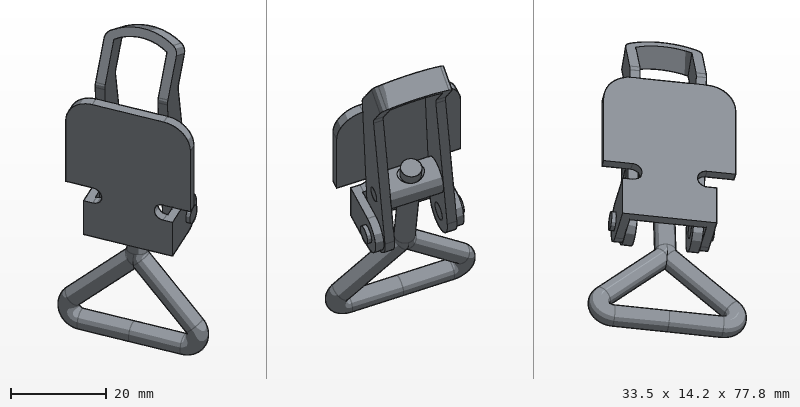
import cadquery as cq
import math


plate_width = 28.0
plate_height = 34.9
plate_thickness = 2.1
plate_corner_radius = 6.0
foot_width = 20.0
foot_height = 8.95
slot_height = 4.0
slot_tip_x = 5.9
lug_arc_y = 9.1

lever_width = 16.25
arm_thickness = 2.2
arm_inner_x = lever_width / 2 - arm_thickness
lever_end_radius = 4.75
handle_width = 5.4
handle_angle = 30.0
front_bend_y = 1.8
front_bend_z = 38.75
back_bend_y = 7.85
bend_radius = 1.95
lever_top_z = 50.95
arch_radius = 13.3
arch_thickness = 2.0
arch_corner_radius = 2.3

pivot_y = 9.5
pivot_z = foot_height / 2
pivot_diameter = 4.0
pivot_span = 21.85

barrel_y = 8.1
barrel_z = 14.85
barrel_diameter = 8.0
journal_diameter = 3.2
countersink_diameter = 5.9

wire_diameter = 4.5
ring_tilt = 8.0
ring_width = 33.5
ring_bend_radius = 2.95
stem_top_height = 5.8
bar_depth = 39.8
leg_angle = 45.0


def x_cylinder(diameter, x_start, x_end, y, z):
    """Cylinder along X between two X positions."""
    return (
        cq.Workplane("YZ", origin=(x_start, 0, 0))
        .center(y, z)
        .circle(diameter / 2)
        .extrude(x_end - x_start)
    )


def make_base():
    """Plate with rounded top corners, side slots and two lugs around the lever."""
    shoulder_height = plate_height - foot_height
    plate = (
        cq.Workplane("XY")
        .box(plate_width, plate_thickness, shoulder_height, centered=(True, False, False))
        .translate((0, 0, foot_height))
        .edges("|Y and >Z")
        .fillet(plate_corner_radius)
    )
    foot = cq.Workplane("XY").box(foot_width, plate_thickness, foot_height, centered=(True, False, False))
    lug_radius = foot_height / 2
    lugs = (
        cq.Workplane("YZ", origin=(-foot_width / 2, 0, 0))
        .moveTo(0, 0)
        .lineTo(lug_arc_y, 0)
        .threePointArc((lug_arc_y + lug_radius, lug_radius), (lug_arc_y, foot_height))
        .lineTo(0, foot_height)
        .close()
        .extrude(foot_width)
    )
    lever_gap = (
        cq.Workplane("XY", origin=(0, plate_thickness, 0))
        .box(lever_width, lug_arc_y + lug_radius, foot_height, centered=(True, False, False))
    )
    base = plate.union(foot).union(lugs.cut(lever_gap))

    slot_length = plate_width - 2 * slot_tip_x
    slots = (
        cq.Workplane("XZ", origin=(0, 0, foot_height + slot_height / 2))
        .pushPoints([(-plate_width / 2, 0), (plate_width / 2, 0)])
        .slot2D(slot_length, slot_height)
        .extrude(-plate_thickness)
    )
    base = base.cut(slots)
    return base.cut(x_cylinder(pivot_diameter, -foot_width / 2, foot_width / 2, pivot_y, pivot_z))


def tangent_point(y, z, side):
    """Point where a line from (y, z) touches the lever's round end: side 1 is the front, -1 the back."""
    distance = math.hypot(y - pivot_y, z - pivot_z)
    direction = math.atan2(z - pivot_z, y - pivot_y)
    angle = direction + side * math.acos(lever_end_radius / distance)
    return (
        pivot_y + lever_end_radius * math.cos(angle),
        pivot_z + lever_end_radius * math.sin(angle),
    )


def lever_side():
    """Solid with the lever's side shape, and the Y position of the handle's top edge.

    The arm tapers up from a round lower end, and the handle bends back from it.
    """
    tilt = math.radians(handle_angle)
    handle_rise = lever_top_z - front_bend_z
    top_y = front_bend_y + handle_rise * math.tan(tilt)
    back_top_y = top_y + handle_width * math.cos(tilt)
    back_top_z = lever_top_z - handle_width * math.sin(tilt)
    back_bend_z = back_top_z - (back_top_y - back_bend_y) / math.tan(tilt)

    front_touch = tangent_point(front_bend_y, front_bend_z, 1)
    back_touch = tangent_point(back_bend_y, back_bend_z, -1)
    side = (
        cq.Workplane("YZ", origin=(-lever_width / 2, 0, 0))
        .moveTo(front_bend_y, front_bend_z)
        .lineTo(top_y, lever_top_z)
        .lineTo(back_top_y, back_top_z)
        .lineTo(back_bend_y, back_bend_z)
        .lineTo(*back_touch)
        .threePointArc((pivot_y, pivot_z - lever_end_radius), front_touch)
        .close()
        .extrude(lever_width)
    )
    bend_zone = cq.selectors.BoxSelector(
        (-lever_width, 0, plate_height),
        (lever_width, pivot_y, lever_top_z - handle_width),
    )
    side = side.edges("|X").edges(bend_zone).fillet(bend_radius)
    return side, top_y


def arch_block(handle_plane, half_width, radius):
    """Block with an arched top, concentric with the handle's arch and square to its tilted face."""
    reach = 2 * lever_top_z
    crown = radius - arch_radius
    shoulder = crown - radius + math.sqrt(radius ** 2 - half_width ** 2)
    return (
        cq.Workplane(handle_plane)
        .moveTo(-half_width, -reach)
        .lineTo(-half_width, shoulder)
        .threePointArc((0, crown), (half_width, shoulder))
        .lineTo(half_width, -reach)
        .close()
        .extrude(reach, both=True)
    )


def make_lever():
    """Two arms joined by an arched handle, with holes for the pivot pins and the journals."""
    side, top_y = lever_side()
    tilt = math.radians(handle_angle)
    face_normal = cq.Vector(0, -math.cos(tilt), math.sin(tilt))
    handle_plane = cq.Plane(origin=(0, top_y, lever_top_z), xDir=(1, 0, 0), normal=face_normal)

    outside = arch_block(handle_plane, lever_width / 2, arch_radius)
    outside = outside.edges(cq.selectors.ParallelDirSelector(face_normal)).fillet(arch_corner_radius)
    window = arch_block(handle_plane, arm_inner_x, arch_radius - arch_thickness)
    lever = side.intersect(outside).cut(window)

    half_width = lever_width / 2
    lever = lever.cut(x_cylinder(pivot_diameter, -half_width, half_width, pivot_y, pivot_z))
    return lever.cut(x_cylinder(journal_diameter, -half_width, half_width, barrel_y, barrel_z))


def make_pivot_pin(side):
    """Pin from the inner face of one arm out through its lug; side is -1 or 1 along X."""
    inner_x, outer_x = sorted((side * arm_inner_x, side * pivot_span / 2))
    return x_cylinder(pivot_diameter, inner_x, outer_x, pivot_y, pivot_z)


def place_on_barrel(body):
    """Tilt a body built upright at the origin and move it onto the barrel's axis."""
    return body.rotate((0, 0, 0), (1, 0, 0), -ring_tilt).translate((0, barrel_y, barrel_z))


def make_barrel():
    """Barrel between the arms, with end journals and a hole for the stem."""
    barrel = x_cylinder(barrel_diameter, -arm_inner_x, arm_inner_x, 0, 0)
    journals = x_cylinder(journal_diameter, -lever_width / 2, lever_width / 2, 0, 0)
    stem_hole = cq.Workplane("XY").circle(wire_diameter / 2).extrude(barrel_diameter, both=True)

    countersink_depth = (countersink_diameter - wire_diameter) / 2
    countersink = (
        cq.Workplane("XY", origin=(0, 0, barrel_diameter / 2 - countersink_depth))
        .circle(wire_diameter / 2)
        .workplane(offset=countersink_depth)
        .circle(countersink_diameter / 2)
        .loft()
    )
    return place_on_barrel(barrel.union(journals).cut(stem_hole).cut(countersink))


def make_pull_ring():
    """Straight stem and triangular ring as one body of round wire."""
    radius = ring_bend_radius
    angle = math.radians(leg_angle)
    corner_x = ring_width / 2 - wire_diameter / 2 - radius
    corner_z = radius - bar_depth

    leg_end_x = corner_x + radius * math.sin(angle)
    leg_end_z = corner_z + radius * math.cos(angle)
    apex_z = leg_end_z + leg_end_x / math.tan(angle)
    tangent_length = radius * math.tan(angle / 2)
    stem_end_z = apex_z + tangent_length
    leg_start_x = tangent_length * math.sin(angle)
    leg_start_z = apex_z - tangent_length * math.cos(angle)
    stem_bend_middle = (radius * (1 - math.cos(angle / 2)), stem_end_z - radius * math.sin(angle / 2))
    corner_middle_angle = (angle - math.pi / 2) / 2
    corner_middle = (
        corner_x + radius * math.cos(corner_middle_angle),
        corner_z + radius * math.sin(corner_middle_angle),
    )

    half_path = (
        cq.Workplane("XZ")
        .moveTo(0, stem_end_z)
        .threePointArc(stem_bend_middle, (leg_start_x, leg_start_z))
        .lineTo(leg_end_x, leg_end_z)
        .threePointArc(corner_middle, (corner_x, -bar_depth))
        .lineTo(0, -bar_depth)
    )
    right_half = (
        cq.Workplane("XY", origin=(0, 0, stem_end_z))
        .circle(wire_diameter / 2)
        .sweep(half_path)
    )
    left_half = right_half.mirror("YZ")
    stem = (
        cq.Workplane("XY", origin=(0, 0, stem_end_z))
        .circle(wire_diameter / 2)
        .extrude(stem_top_height - stem_end_z)
    )
    return place_on_barrel(stem.union(right_half).union(left_half).clean())


base = make_base()
lever = make_lever()
barrel = make_barrel()
pull_ring = make_pull_ring()
pivot_pins = [make_pivot_pin(side) for side in (-1, 1)]

result = cq.Compound.makeCompound([
    base.val(),
    lever.val(),
    barrel.val(),
    pull_ring.val(),
    *[pin.val() for pin in pivot_pins],
])